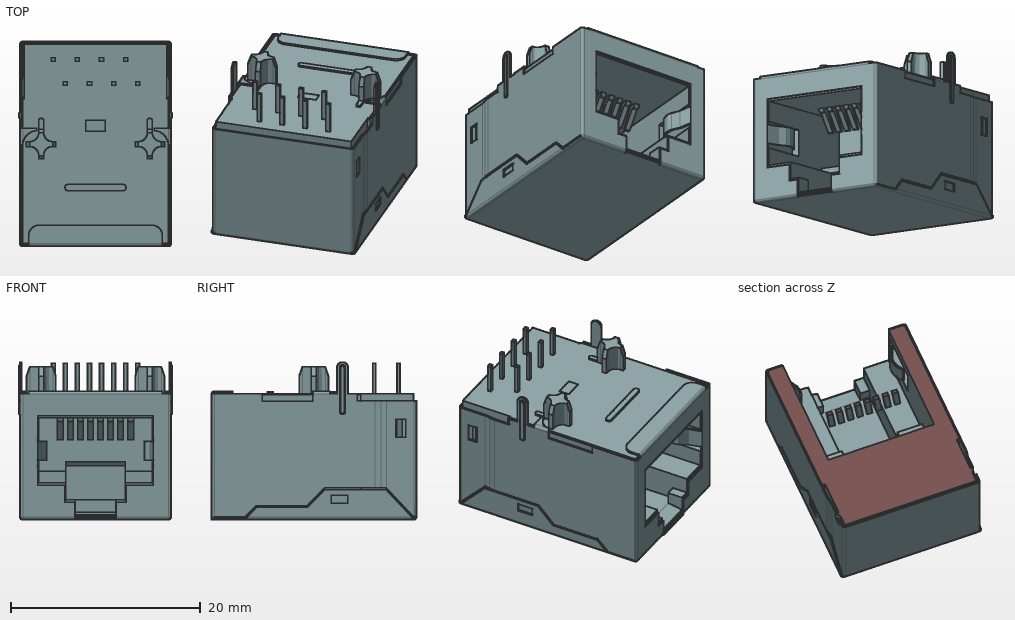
import cadquery as cq

SHEET = 0.2
LENGTH = 21.6
HALF_WIDTH = 7.97
HOUSING_TOP = 13.28
LIP_TOP = 13.55
BEND_OUTER = 0.3
BEND_INNER = BEND_OUTER - SHEET
BEND_Z = LIP_TOP - BEND_OUTER
REAR_INSET = 0.15
JOG_START = 17.2
JOG_END = 18.42
OVERLAP = 0.06

WINDOW_HALF, WINDOW_BOTTOM, WINDOW_TOP = 6.1, 3.6, 10.95
LATCH_HALF, LATCH_BOTTOM = 3.22, 1.85
NOSE_HALF = 2.18

SEAM_GAP = 0.17
SEAM_REAR, SEAM_FRONT = 21.3, 3.55
SEAM_START_Z = 0.1
SEAM = [(SEAM_REAR, SEAM_START_Z), (18.38, 3.18), (11.92, 3.18), (10.1, 1.32), (4.75, 1.32),
        (SEAM_FRONT, SEAM_START_Z)]
FLAP_SLOT_Y, FLAP_SLOT_Z = (12.6, 14.36), (1.73, 2.6)

SIDE_RELIEF_Y, SIDE_RELIEF_Z = (5.35, 10.7), 12.46
REAR_RELIEF_Y, REAR_RELIEF_Z = 15.38, 12.53

FRONT_LIP_HALF, FRONT_LIP_END, FRONT_LIP_RADIUS = 7.05, 2.22, 1.08
SIDE_LIP_Y = (10.7, 12.46)
SIDE_LIP_TIP = (-6.2, 12.18)
SIDE_LIP_MIDDLE = (-7.17, 11.77)

TAB_Y, TAB_WIDTH, TAB_TOP = 13.8, 1.2, 16.6
RIB_WIDTH, RIB_BOTTOM, RIB_TOP = 0.63, 11.1, 16.3
RIB_HEIGHT, RIB_CHAMFER = 0.13, 0.1

SPRING_Z = (6.25, 8.25)
SPRING_BEND = (5.72, 1.5)
SPRING_CURL = (5.25, 2.35)
SPRING_APEX = (5.16, 3.25)
SPRING_TIP = (5.83, 4.54)
SPRING_POCKET_Z = (5.7, 8.55)
SPRING_POCKET_HALF, SPRING_POCKET_END = 6.8, 5.62

CATCH_SLOT_Y, CATCH_Z = (19.42, 20.48), (8.7, 10.6)
CATCH_Y = (19.53, 20.09)

HOUSING_HALF = HALF_WIDTH - SHEET
HOUSING_FRONT = SHEET
HOUSING_BACK = 21.3
HOUSING_BOTTOM = 0.25
HOUSING_REAR_HALF, HOUSING_STEP_Y = 7.5, 15.7
HOUSING_CHAMFER = 0.13

CAVITY_HALF, CAVITY_BOTTOM, CAVITY_TOP, CAVITY_BACK = 5.98, 3.87, 10.74, 12.95
SHELF_Y, SHELF_Z = 9.72, 5.08
CHANNEL_HALF, CHANNEL_Z, CHANNEL_BACK = 3.15, 0.8, 14.25
CHANNEL_STEP_Y, CHANNEL_STEP_Z = 10.8, 2.1
CHANNEL_ROOF_FRONT, CHANNEL_ROOF_BACK = 6.1, 5.65
LATCH_STOP_Y, LATCH_STOP_Z = 1.88, 2.1
NOSE_SLOT_HALF, NOSE_SLOT_FRONT_Z = 2.12, 0.52

CONTACT_COUNT, CONTACT_PITCH, CONTACT_WIDTH, CONTACT_THICK = 8, 1.05, 0.6, 0.25
CONTACT_Y, CONTACT_TIP_Y, CONTACT_TIP_Z = 6.48, 8.2, 8.4
CONTACT_BEND_Z = 10.32

PIN_X, PIN_Y, PIN_TOP, PIN_PITCH = 0.43, 0.35, 16.5, 2.54
PIN_ROWS = [(19.7, -PIN_PITCH / 4), (17.15, PIN_PITCH / 4)]
PINS_PER_ROW = 4

POST_X, POST_Y, POST_TOP = 5.72, 10.78, 16.11
POST_REACH, POST_ARM_HALF, POST_HOLLOW = 1.55, 0.25, 0.95
POST_TAPER_RUN, POST_TAPER_RISE = 0.35, 1.0
RIB_RISE = 0.17
POST_RIB_END, POST_RIB_ROUND = 13.48, 0.22
CROSS_RIB_LENGTH, CROSS_RIB_WIDTH, CROSS_RIB_Y = 6.44, 0.65, 6.2
MARK_SIZE, MARK_Y, MARK_DEPTH = (2.0, 1.12), 12.7, 0.02


def block(x, y, z):
    """Box between the (low, high) limits given for each axis."""
    size = [high - low for low, high in (x, y, z)]
    return cq.Workplane("XY").box(*size, centered=False).translate((x[0], y[0], z[0]))


def centred(half):
    return (-half, half)


def both_sides(piece):
    """A piece on one side in X together with its mirror image."""
    return piece.union(piece.mirror("YZ"))


def prism_x(points, half):
    """Closed (y, z) outline carried across X from -half to +half."""
    return cq.Workplane("YZ").polyline(points).close().extrude(half, both=True)


def prism_z(outline, z):
    return outline.extrude(z[1] - z[0]).translate((0, 0, z[0]))


def jog_cutter(half):
    """Space outside the rear of the +X side wall: two tangent arcs, then straight to the back."""
    middle = (half - REAR_INSET / 2, (JOG_START + JOG_END) / 2)
    outline = (
        cq.Workplane("XY")
        .moveTo(half, JOG_START - OVERLAP)
        .lineTo(half, JOG_START)
        .tangentArcPoint(middle, relative=False)
        .tangentArcPoint((half - REAR_INSET, JOG_END), relative=False)
        .lineTo(half - REAR_INSET, LENGTH)
        .lineTo(half + OVERLAP, LENGTH)
        .lineTo(half + OVERLAP, JOG_START - OVERLAP)
        .close()
    )
    return outline.extrude(HOUSING_TOP)


def wall_block(offset, radius):
    """Envelope of the upper walls moved inward by offset, its sides jogged inward at the rear."""
    half = HALF_WIDTH - offset
    envelope = block(centred(half), (offset, LENGTH - offset), (0, HOUSING_TOP))
    envelope = envelope.cut(both_sides(jog_cutter(half)))
    return envelope.edges("|Z and (<Y or >Y)").fillet(radius)


def tray_block(offset, radius):
    """Plain envelope of the folded bottom tray moved inward by offset, rounded below."""
    half = HALF_WIDTH - offset
    envelope = block(centred(half), (offset, LENGTH - offset), (offset, HOUSING_TOP))
    return envelope.edges("|Z").fillet(radius).faces("<Z").edges().fillet(radius)


def walls():
    """Front, back and side walls down to the seam."""
    shell = wall_block(0, BEND_OUTER).intersect(tray_block(0, BEND_OUTER))
    shell = shell.cut(wall_block(SHEET, BEND_INNER))
    upper_edge = [(y, z + SEAM_GAP) for y, z in SEAM]
    front_corner = [(BEND_OUTER, SEAM_START_Z + SEAM_GAP), (BEND_OUTER, -OVERLAP)]
    below_seam = prism_x(upper_edge + front_corner + [(SEAM_REAR, -OVERLAP)], HALF_WIDTH)
    return shell.cut(below_seam)


def bottom_tray():
    """Bottom plate with its side flaps and the bends up into the front and back walls."""
    shell = tray_block(0, BEND_OUTER).cut(tray_block(SHEET, BEND_INNER))
    full_width = centred(HALF_WIDTH)
    flaps = prism_x(SEAM + [(SEAM_FRONT, 0), (SEAM_REAR, 0)], HALF_WIDTH)
    flap_slots = block(full_width, FLAP_SLOT_Y, FLAP_SLOT_Z)
    kept = (
        flaps.cut(flap_slots)
        .union(block(full_width, (0, LENGTH), (0, SHEET)))
        .union(block(full_width, (0, BEND_OUTER), (0, BEND_OUTER)))
        .union(block(full_width, (LENGTH - BEND_OUTER, LENGTH), (0, BEND_OUTER)))
    )
    return shell.intersect(kept)


def front_opening():
    depth = (-OVERLAP, SHEET)
    window = block(centred(WINDOW_HALF), depth, (WINDOW_BOTTOM, WINDOW_TOP))
    latch = block(centred(LATCH_HALF), depth, (LATCH_BOTTOM, WINDOW_TOP))
    nose = block(centred(NOSE_HALF), depth, (SHEET, WINDOW_TOP))
    return window.union(latch).union(nose)


def nose_sill():
    """Flat front edge of the bottom plate below the latch nose notch."""
    return block(centred(NOSE_HALF), (0, BEND_OUTER), (0, SHEET))


def wall_reliefs():
    """Notches in the top edges of the walls, and the catch slots of the rear sides."""
    full_width = centred(HALF_WIDTH)
    side = block(full_width, SIDE_RELIEF_Y, (SIDE_RELIEF_Z, HOUSING_TOP))
    rear = block(full_width, (REAR_RELIEF_Y, LENGTH), (REAR_RELIEF_Z, HOUSING_TOP))
    catch_slots = block(full_width, CATCH_SLOT_Y, CATCH_Z)
    return side.union(rear).union(catch_slots)


def lip_profile(plane, reach):
    """Section of a lip bent over from an upright wall whose outer face is at 0."""
    return (
        cq.Workplane(plane)
        .moveTo(0, BEND_Z)
        .radiusArc((BEND_OUTER, LIP_TOP), BEND_OUTER)
        .lineTo(reach, LIP_TOP)
        .lineTo(reach, LIP_TOP - SHEET)
        .lineTo(BEND_OUTER, LIP_TOP - SHEET)
        .radiusArc((SHEET, BEND_Z), -BEND_INNER)
        .close()
    )


def front_lip():
    lip = lip_profile("YZ", FRONT_LIP_END).extrude(FRONT_LIP_HALF, both=True)
    return lip.edges("|Z and >Y").fillet(FRONT_LIP_RADIUS)


def side_lip():
    """Lip of the -X wall, hollowed by an arc that runs clear around the locating post."""
    front, back = SIDE_LIP_Y
    tip_x, tip_y = SIDE_LIP_TIP
    bent = lip_profile("XZ", tip_x + HALF_WIDTH).extrude(front - back)
    bent = bent.translate((-HALF_WIDTH, front, 0))
    hollow = (
        cq.Workplane("XY")
        .moveTo(-HALF_WIDTH + BEND_OUTER, front)
        .threePointArc(SIDE_LIP_MIDDLE, (tip_x, tip_y))
        .lineTo(tip_x, front)
        .close()
        .extrude(LIP_TOP + OVERLAP)
    )
    return bent.cut(hollow)


def lip_clearance():
    """Wall tops removed where the lips bend over."""
    height = (BEND_Z, HOUSING_TOP)
    front = block(centred(FRONT_LIP_HALF), (0, SHEET), height)
    return front.union(block(centred(HALF_WIDTH), SIDE_LIP_Y, height))


def ground_tab():
    """Round-ended blade above the +X wall with a rib embossed on its outer face."""
    blade = (
        cq.Workplane("YZ", origin=(HOUSING_HALF, TAB_Y, (TAB_TOP + RIB_BOTTOM) / 2))
        .slot2D(TAB_TOP - RIB_BOTTOM, TAB_WIDTH, 90)
        .extrude(SHEET)
    )
    rib = (
        cq.Workplane("YZ", origin=(HALF_WIDTH, TAB_Y, (RIB_TOP + RIB_BOTTOM) / 2))
        .slot2D(RIB_TOP - RIB_BOTTOM, RIB_WIDTH, 90)
        .extrude(RIB_HEIGHT)
        .faces(">X")
        .chamfer(RIB_CHAMFER)
    )
    return blade.union(rib)


def thickened(point):
    """The point on the outer side of a spring finger opposite to one on its inner side."""
    return (point[0] + SHEET, point[1])


def spring_finger():
    """Finger bent inward from the +X edge of the opening and curling outward again at its end."""
    root = (WINDOW_HALF, 0)
    outline = (
        cq.Workplane("XY")
        .moveTo(*root)
        .lineTo(*SPRING_BEND)
        .lineTo(*SPRING_CURL)
        .threePointArc(SPRING_APEX, SPRING_TIP)
        .lineTo(*thickened(SPRING_TIP))
        .threePointArc(thickened(SPRING_APEX), thickened(SPRING_CURL))
        .lineTo(*thickened(SPRING_BEND))
        .lineTo(WINDOW_HALF + SHEET, SHEET)
        .lineTo(*thickened(root))
        .close()
    )
    return prism_z(outline, SPRING_Z)


def make_shield():
    shell = walls().cut(front_opening()).cut(wall_reliefs()).cut(lip_clearance())
    tray = bottom_tray().cut(front_opening()).union(nose_sill())
    shield = shell.union(tray).union(front_lip())
    for piece in (side_lip(), ground_tab(), spring_finger()):
        shield = shield.union(both_sides(piece))
    return shield


def housing_block():
    """Housing envelope: full width at the front, narrower behind the step."""
    height = (HOUSING_BOTTOM, HOUSING_TOP)
    wide = block(centred(HOUSING_HALF), (HOUSING_FRONT, HOUSING_STEP_Y), height)
    wide = wide.edges("|Z and <Y").chamfer(HOUSING_CHAMFER)
    wide = wide.faces("<Z or >Z").edges().chamfer(HOUSING_CHAMFER)
    narrow = block(centred(HOUSING_REAR_HALF), (HOUSING_STEP_Y - HOUSING_CHAMFER, HOUSING_BACK),
                   height)
    return wide.union(narrow)


def plug_cavity():
    """Stepped pocket for the plug body, its latch channel and the slot for the latch nose."""
    front = HOUSING_FRONT
    body = block(centred(CAVITY_HALF), (front, CAVITY_BACK), (CAVITY_BOTTOM, CAVITY_TOP))
    body = body.cut(block(centred(CAVITY_HALF), (SHELF_Y, CAVITY_BACK), (CAVITY_BOTTOM, SHELF_Z)))
    channel = prism_x(
        [
            (front, LATCH_STOP_Z),
            (LATCH_STOP_Y, LATCH_STOP_Z),
            (LATCH_STOP_Y, CHANNEL_Z),
            (CHANNEL_STEP_Y, CHANNEL_Z),
            (CHANNEL_STEP_Y, CHANNEL_STEP_Z),
            (CHANNEL_BACK, CHANNEL_STEP_Z),
            (CHANNEL_BACK, CHANNEL_ROOF_BACK),
            (CAVITY_BACK, CHANNEL_ROOF_FRONT),
            (front, CHANNEL_ROOF_FRONT),
        ],
        CHANNEL_HALF,
    )
    nose_slot = prism_x(
        [
            (front, NOSE_SLOT_FRONT_Z),
            (LATCH_STOP_Y, CHANNEL_Z),
            (LATCH_STOP_Y, LATCH_STOP_Z),
            (front, LATCH_STOP_Z),
        ],
        NOSE_SLOT_HALF,
    )
    pockets = block(centred(SPRING_POCKET_HALF), (front, SPRING_POCKET_END), SPRING_POCKET_Z)
    return body.union(channel).union(nose_slot).union(pockets)


def contacts():
    """Row of contact fingers leaving the cavity roof and sloping down towards the back."""
    heel = CAVITY_TOP - CONTACT_BEND_Z
    finger = (
        cq.Workplane("YZ")
        .moveTo(CONTACT_Y, CAVITY_TOP + OVERLAP)
        .lineTo(CONTACT_Y, CAVITY_TOP)
        .tangentArcPoint((CONTACT_Y + heel, CONTACT_BEND_Z), relative=False)
        .lineTo(CONTACT_TIP_Y, CONTACT_TIP_Z)
        .lineTo(CONTACT_TIP_Y + CONTACT_THICK, CONTACT_TIP_Z)
        .lineTo(CONTACT_Y + heel + CONTACT_THICK, CAVITY_TOP + OVERLAP)
        .close()
        .extrude(CONTACT_WIDTH / 2, both=True)
    )
    first_x = -CONTACT_PITCH * (CONTACT_COUNT - 1) / 2
    row = cq.Workplane("XY")
    for index in range(CONTACT_COUNT):
        row = row.union(finger.translate((first_x + index * CONTACT_PITCH, 0, 0)))
    return row


def solder_pins():
    places = []
    for row_y, row_x in PIN_ROWS:
        for index in range(PINS_PER_ROW):
            offset = index - (PINS_PER_ROW - 1) / 2
            places.append((row_x + offset * PIN_PITCH, row_y))
    pins = cq.Workplane("XY", origin=(0, 0, HOUSING_TOP - OVERLAP)).pushPoints(places)
    return pins.rect(PIN_X, PIN_Y).extrude(PIN_TOP - HOUSING_TOP + OVERLAP)


def locating_post():
    """Cross-shaped post with hollowed corners and tapered arm ends, plus the rib behind it."""
    height = POST_TOP - HOUSING_TOP + OVERLAP
    base = cq.Workplane("XY", origin=(0, 0, HOUSING_TOP - OVERLAP))
    arm = 2 * POST_ARM_HALF
    cross = base.rect(2 * POST_REACH, arm).extrude(height)
    cross = cross.union(base.rect(arm, 2 * POST_REACH).extrude(height))
    inner_corners = cq.selectors.BoxSelector((-arm, -arm, 0), (arm, arm, POST_TOP))
    cross = cross.edges("|Z").edges(inner_corners).fillet(POST_HOLLOW)
    taper = base.rect(2 * POST_REACH, 2 * POST_REACH).extrude(height)
    taper = taper.faces(">Z").edges().chamfer(POST_TAPER_RISE, POST_TAPER_RUN)
    rib_end = POST_RIB_END - POST_Y
    rib = base.center(0, rib_end / 2).rect(arm, rib_end).extrude(RIB_RISE + OVERLAP)
    rib = rib.edges("|Z and >Y").fillet(POST_RIB_ROUND)
    return cross.intersect(taper).union(rib).translate((POST_X, POST_Y, 0))


def cross_rib():
    base = cq.Workplane("XY", origin=(0, CROSS_RIB_Y, HOUSING_TOP - OVERLAP))
    return base.slot2D(CROSS_RIB_LENGTH, CROSS_RIB_WIDTH).extrude(RIB_RISE + OVERLAP)


def top_mark():
    """Shallow rectangular recess in the housing top."""
    base = cq.Workplane("XY", origin=(0, MARK_Y, HOUSING_TOP - MARK_DEPTH))
    return base.rect(*MARK_SIZE).extrude(MARK_DEPTH)


def rear_catch():
    """Ramp on the +X rear side that reaches into the slot of the shield."""
    front, back = CATCH_Y
    outline = (
        cq.Workplane("XY")
        .moveTo(HOUSING_REAR_HALF - OVERLAP, front)
        .lineTo(HALF_WIDTH - REAR_INSET, front)
        .lineTo(HOUSING_REAR_HALF, back)
        .lineTo(HOUSING_REAR_HALF - OVERLAP, back)
        .close()
    )
    return prism_z(outline, CATCH_Z)


def make_housing():
    housing = housing_block().cut(plug_cavity()).cut(top_mark())
    housing = housing.union(contacts()).union(solder_pins()).union(cross_rib())
    for piece in (locating_post(), rear_catch()):
        housing = housing.union(both_sides(piece))
    return housing


shield = make_shield()
housing = make_housing()
result = cq.Compound.makeCompound([*shield.solids().vals(), *housing.solids().vals()])